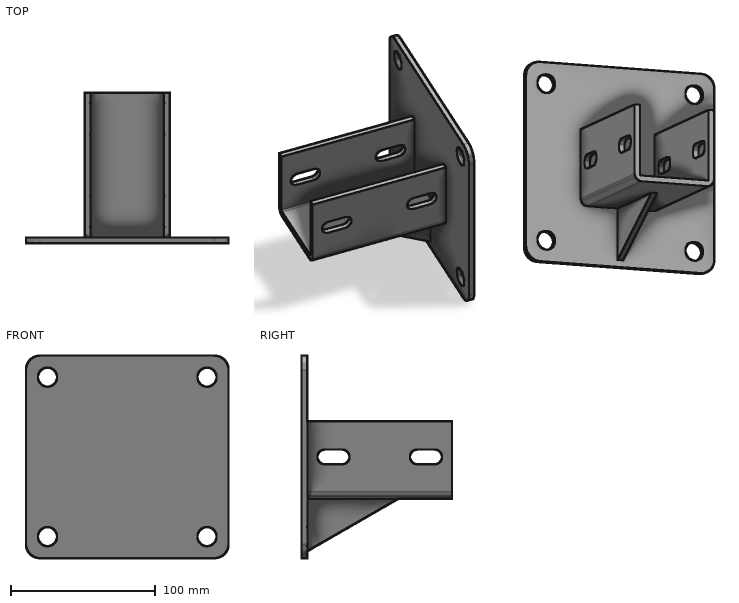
import cadquery as cq

plate_side = 140.0
sheet = 4.0
plate_corner_radius = 10.0
hole_spacing = 110.0
hole_diameter = 13.0

total_depth = 104.0
channel_width = 59.0
channel_top = 24.6
channel_bottom = -29.0
bend_inner_radius = 1.0
bend_outer_radius = bend_inner_radius + sheet

slot_length = 22.0
slot_height = 10.0
slot_end_distance = 18.0

gusset_length = 62.7
gusset_height = 36.1

channel_length = total_depth - sheet
slot_positions = (sheet + slot_end_distance, total_depth - slot_end_distance)


def make_plate():
    plate = cq.Workplane("XY").box(plate_side, sheet, plate_side).translate((0, sheet / 2, 0))
    plate = plate.edges("|Y").fillet(plate_corner_radius)
    return (
        plate.faces("<Y").workplane(centerOption="CenterOfBoundBox")
        .rect(hole_spacing, hole_spacing, forConstruction=True)
        .vertices()
        .hole(hole_diameter)
    )


def make_bar(width, bottom, bend_radius):
    """Bar along the channel with its two lower long edges rounded."""
    return (
        cq.Workplane("XY", origin=(0, sheet + channel_length / 2, bottom))
        .box(width, channel_length, channel_top - bottom, centered=(True, True, False))
        .edges("|Y and <Z")
        .fillet(bend_radius)
    )


def make_channel():
    outside = make_bar(channel_width, channel_bottom, bend_outer_radius)
    inside = make_bar(channel_width - 2 * sheet, channel_bottom + sheet, bend_inner_radius)
    slots = (
        cq.Workplane("YZ")
        .pushPoints([(y, 0) for y in slot_positions])
        .slot2D(slot_length, slot_height)
        .extrude(channel_width, both=True)
    )
    return outside.cut(inside).cut(slots)


def make_gusset():
    return (
        cq.Workplane("YZ")
        .moveTo(sheet, channel_bottom)
        .lineTo(sheet + gusset_length, channel_bottom)
        .lineTo(sheet, channel_bottom - gusset_height)
        .close()
        .extrude(sheet / 2, both=True)
    )


result = make_plate().union(make_channel()).union(make_gusset())